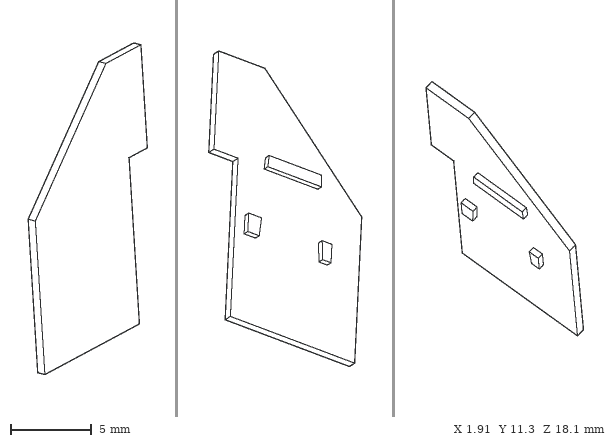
import cadquery as cq
import math

overall_height = 18.13
tilt_degrees = 4.2
thickness = 0.58
plate_width = 11.31
tilt = math.radians(tilt_degrees)
plate_length = (overall_height - thickness * math.sin(tilt)) / math.cos(tilt)

notch_width = 1.83
notch_height = 11.19
bevel_start_height = 10.33
bevel_top_y = 7.8
lower_width = plate_width - notch_width

pad_height = 0.4
bar_bottom = 11.11
bar_top = 11.93
bar_center_y = 5.44
bar_bottom_width = 4.1
bar_top_width = 3.99
foot_bottom = 6.1
foot_top = 7.4
near_foot_outer_y = 2.41
near_foot_bottom_width = 0.63
near_foot_top_width = 0.75
far_foot_outer_y = 8.75
far_foot_bottom_width = 0.87
far_foot_top_width = 0.98


def slab(points, start_x, depth):
    """Extrude a Y-Z outline toward +X from start_x."""
    return cq.Workplane("YZ", origin=(start_x, 0, 0)).polyline(points).close().extrude(depth)


def pad(points):
    """Raise an outline from the -X face of the plate."""
    return slab(points, -pad_height, pad_height)


def foot(outer_y, inward, bottom_width, top_width):
    """Small pad whose inner side slopes; inward is +1 or -1 along Y."""
    return pad([
        (outer_y, foot_bottom),
        (outer_y + inward * bottom_width, foot_bottom),
        (outer_y + inward * top_width, foot_top),
        (outer_y, foot_top),
    ])


plate = slab(
    [
        (0, 0),
        (lower_width, 0),
        (lower_width, notch_height),
        (plate_width, notch_height),
        (plate_width, plate_length),
        (bevel_top_y, plate_length),
        (0, bevel_start_height),
    ],
    0,
    thickness,
)

bar = pad([
    (bar_center_y - bar_bottom_width / 2, bar_bottom),
    (bar_center_y + bar_bottom_width / 2, bar_bottom),
    (bar_center_y + bar_top_width / 2, bar_top),
    (bar_center_y - bar_top_width / 2, bar_top),
])
near_foot = foot(near_foot_outer_y, 1, near_foot_bottom_width, near_foot_top_width)
far_foot = foot(far_foot_outer_y, -1, far_foot_bottom_width, far_foot_top_width)

upright = plate.union(bar).union(near_foot).union(far_foot)
result = upright.rotate((0, 0, 0), (0, 1, 0), -tilt_degrees)